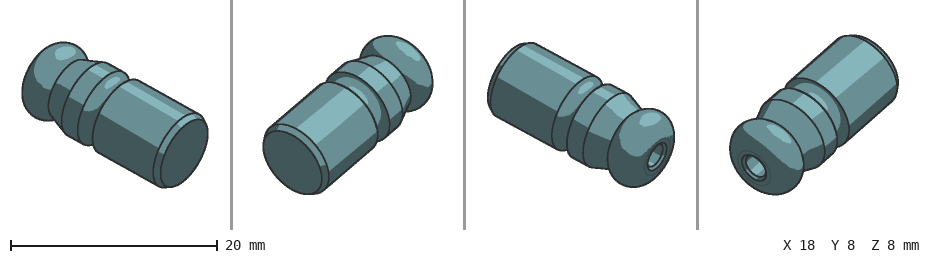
import cadquery as cq
import math

length = 18.0
body_radius = 4.0

nose_round = 2.0
neck_x = 3.64
cone_end_x = 5.98

groove_x = 8.9
groove_arc_radius = 1.0
groove_depth = 0.6

tail_chamfer_length = 0.63
tail_chamfer_angle = 30.0

hole_radius = 1.22
hole_mouth_radius = 1.5
hole_depth = 8.0
drill_tip_angle = 118.0


def make_body():
    """Revolve the outer half-profile about the X axis."""
    nose_center_r = body_radius - nose_round
    neck_radius = nose_center_r + math.sqrt(nose_round**2 - (neck_x - nose_round) ** 2)
    groove_half_width = math.sqrt(groove_arc_radius**2 - (groove_arc_radius - groove_depth) ** 2)
    tail_radius = body_radius - tail_chamfer_length * math.tan(math.radians(tail_chamfer_angle))

    profile = (
        cq.Workplane("XY")
        .lineTo(0, nose_center_r)
        .threePointArc((nose_round, body_radius), (neck_x, neck_radius))
        .lineTo(cone_end_x, body_radius)
        .lineTo(groove_x - groove_half_width, body_radius)
        .threePointArc(
            (groove_x, body_radius - groove_depth),
            (groove_x + groove_half_width, body_radius),
        )
        .lineTo(length - tail_chamfer_length, body_radius)
        .lineTo(length, tail_radius)
        .lineTo(length, 0)
        .close()
    )
    return profile.revolve(360, (0, 0, 0), (1, 0, 0))


def make_hole():
    """Revolve the drilled hole: 45 degree mouth chamfer, straight bore, conical tip."""
    mouth_chamfer = hole_mouth_radius - hole_radius
    tip_length = hole_radius / math.tan(math.radians(drill_tip_angle / 2))

    profile = (
        cq.Workplane("XY")
        .lineTo(0, hole_mouth_radius)
        .lineTo(mouth_chamfer, hole_radius)
        .lineTo(hole_depth, hole_radius)
        .lineTo(hole_depth + tip_length, 0)
        .close()
    )
    return profile.revolve(360, (0, 0, 0), (1, 0, 0))


result = make_body().cut(make_hole())